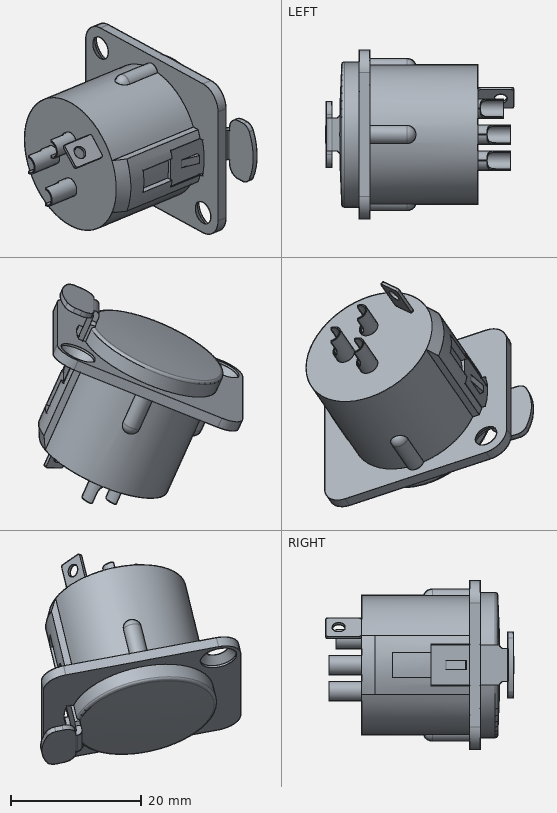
import cadquery as cq
import math


PLATE_WIDTH = 31.0
PLATE_HEIGHT = 26.0
PLATE_THICKNESS = 1.65
PLATE_CORNER_RADIUS = 3.5
SCREW_HOLE_DIAMETER = 3.6
SCREW_HEAD_DIAMETER = 5.7
SCREW_HEAD_RECESS_DEPTH = 0.35
SCREW_HOLE_X = 12.0
SCREW_HOLE_Z = 9.5

BARREL_RADIUS = 10.75
BARREL_LENGTH = 16.6
RIM_RADIUS = 11.2
RIM_FRONT_Y = 4.35
RIM_ROUNDING = 0.45
DOME_RISE = 0.3

RIB_RADIUS = 1.45
RIB_AXIS_OFFSET = 10.25
RIB_STRAIGHT_LENGTH = 5.7
RIB_ANGLES = (90, 180, 270)

PAD_RADIUS = 11.75
PAD_HALF_WIDTH = 4.55
PAD_BEVEL_LENGTH = 2.1
WINDOW_HALF_WIDTH = 3.2
WINDOW_REAR_Y = -5.95
SLOT_HALF_WIDTH = 1.9
SLOT_REAR_Y = -11.85

PLATE_SLOT_RADIUS = 12.27
PLATE_SLOT_HALF_WIDTH = 3.15

LEVER_THICKNESS = 0.84
STEM_OUTER_X = 11.2
STEM_INNER_X = STEM_OUTER_X - LEVER_THICKNESS
STEM_WIDE_HALF_WIDTH = 3.1
STEM_NARROW_HALF_WIDTH = 2.55
STEM_TAPER_START_Y = 4.52
STEM_TAPER_END_Y = 5.02
THUMB_REAR_Y = 5.82
THUMB_BASE_X = 11.5
THUMB_TIP_X = 16.89
THUMB_HALF_WIDTH = 5.08
THUMB_BASE_CORNER_RADIUS = 2.0
THUMB_SHOULDER_X = 14.7
THUMB_END_X = 16.0
THUMB_END_HALF_WIDTH = 4.15
THUMB_SHOULDER_MID_X = 15.5
THUMB_SHOULDER_MID_Z = 4.75
THUMB_TILT_DEGREES = 1.5

CATCH_TIP_X = 11.9
CATCH_HALF_WIDTH = 0.68
CATCH_FRONT_Y = -0.5
CATCH_FRONT_DROP = 0.12
CATCH_REAR_Y = -3.65

PIN_RADIUS = 1.5
PIN_BORE_RADIUS = 1.28
PIN_OFFSET = 4.0
PIN_LENGTH = 5.0
SHORT_PIN_LENGTH = 3.95
CUP_EDGE_OFFSET = -0.2
CUP_ARC_RADIUS = 1.7
CUP_STRAIGHT_LENGTH = 2.0
CUP_TIP_ROUNDING = 0.25
PIN_SEAM_WIDTH = 0.15

TAB_WIDTH = 4.0
TAB_THICKNESS = 0.5
TAB_LENGTH = 5.5
TAB_CENTER_X = 6.1
TAB_CENTER_Z = 5.65
TAB_TURN_DEGREES = 45
TAB_CORNER_RADIUS = 0.35
TAB_HOLE_DIAMETER = 2.0
TAB_HOLE_FROM_BARREL = 3.5

OVERLAP = 0.5


def box_between(x_range, y_range, z_range):
    """Axis-aligned box given by its limits along X, Y and Z."""
    size = [high - low for low, high in (x_range, y_range, z_range)]
    corner = (x_range[0], y_range[0], z_range[0])
    return cq.Workplane("XY").box(*size, centered=False).translate(corner)


def revolve_about_y(profile):
    """Turn a closed XY profile fully about the barrel axis."""
    return profile.close().revolve(360, (0, 0, 0), (0, 1, 0))


def prism_along_y(outline, rear_y, length):
    """Extrude an XZ outline toward +Y starting at rear_y."""
    return outline.extrude(-length).translate((0, rear_y, 0))


def mounting_plate():
    """Round-cornered plate with two holes countersunk from the front."""
    plate = cq.Workplane("XZ").rect(PLATE_WIDTH, PLATE_HEIGHT).extrude(-PLATE_THICKNESS)
    plate = plate.edges("|Y").fillet(PLATE_CORNER_RADIUS)
    hole_radius = SCREW_HOLE_DIAMETER / 2
    head_radius = SCREW_HEAD_DIAMETER / 2
    recess_y = PLATE_THICKNESS - SCREW_HEAD_RECESS_DEPTH
    countersink = revolve_about_y(
        cq.Workplane("XY")
        .lineTo(hole_radius, 0)
        .lineTo(head_radius, recess_y)
        .lineTo(head_radius, PLATE_THICKNESS)
        .lineTo(0, PLATE_THICKNESS)
    )
    for side in (-1, 1):
        plate = plate.cut(countersink.translate((side * SCREW_HOLE_X, 0, -side * SCREW_HOLE_Z)))
    return plate


def barrel():
    return cq.Workplane("XZ").circle(BARREL_RADIUS).extrude(BARREL_LENGTH)


def rim():
    """Front rim with a rounded edge, a shallow domed face and a slot for the lever stem."""
    face_radius = RIM_RADIUS - RIM_ROUNDING
    dome_radius = (face_radius**2 + DOME_RISE**2) / (2 * DOME_RISE)
    mid_radius = face_radius / 2
    mid_drop = dome_radius - math.sqrt(dome_radius**2 - mid_radius**2)
    dome_top_y = RIM_FRONT_Y + DOME_RISE
    profile = (
        cq.Workplane("XY")
        .lineTo(RIM_RADIUS, 0)
        .lineTo(RIM_RADIUS, RIM_FRONT_Y - RIM_ROUNDING)
        .radiusArc((face_radius, RIM_FRONT_Y), -RIM_ROUNDING)
        .threePointArc((mid_radius, dome_top_y - mid_drop), (0, dome_top_y))
    )
    stem_slot = box_between(
        (STEM_INNER_X, RIM_RADIUS + OVERLAP),
        (0, dome_top_y),
        (-STEM_WIDE_HALF_WIDTH, STEM_WIDE_HALF_WIDTH),
    )
    front_only = box_between(
        (-RIM_RADIUS, RIM_RADIUS), (PLATE_THICKNESS / 2, dome_top_y), (-RIM_RADIUS, RIM_RADIUS)
    )
    return revolve_about_y(profile).intersect(front_only).cut(stem_slot)


def rib(angle):
    """Round-ended rib running back from the plate along the barrel."""
    profile = (
        cq.Workplane("XY")
        .lineTo(RIB_RADIUS, 0)
        .lineTo(RIB_RADIUS, -RIB_STRAIGHT_LENGTH)
        .radiusArc((0, -RIB_STRAIGHT_LENGTH - RIB_RADIUS), RIB_RADIUS)
    )
    x = RIB_AXIS_OFFSET * math.cos(math.radians(angle))
    z = RIB_AXIS_OFFSET * math.sin(math.radians(angle))
    return revolve_about_y(profile).translate((x, 0, z))


def latch_pad():
    """Raised pad, bevelled at the rear, with a window that narrows to a slot."""
    profile = (
        cq.Workplane("XY")
        .lineTo(PAD_RADIUS, 0)
        .lineTo(PAD_RADIUS, PAD_BEVEL_LENGTH - BARREL_LENGTH)
        .lineTo(BARREL_RADIUS, -BARREL_LENGTH)
        .lineTo(0, -BARREL_LENGTH)
    )
    sector = box_between(
        (BARREL_RADIUS / 2, PAD_RADIUS),
        (-BARREL_LENGTH, 0),
        (-PAD_HALF_WIDTH, PAD_HALF_WIDTH),
    )
    pad = revolve_about_y(profile).intersect(sector)
    for rear_y, half_width in ((WINDOW_REAR_Y, WINDOW_HALF_WIDTH), (SLOT_REAR_Y, SLOT_HALF_WIDTH)):
        opening = box_between((0, PAD_RADIUS), (rear_y, 0), (-half_width, half_width))
        pad = pad.cut(opening.cut(barrel()))
    return pad


def plate_slot():
    """Cutter for the curved plate opening just outside the lever stem."""
    sector = box_between(
        (STEM_OUTER_X, PLATE_SLOT_RADIUS),
        (0, PLATE_THICKNESS),
        (-PLATE_SLOT_HALF_WIDTH, PLATE_SLOT_HALF_WIDTH),
    )
    disc = cq.Workplane("XZ").circle(PLATE_SLOT_RADIUS).extrude(-PLATE_THICKNESS)
    return disc.intersect(sector)


def latch_catch():
    """Narrow ramp on the lever stem, highest near the plate."""
    return (
        cq.Workplane("XY")
        .moveTo(STEM_INNER_X, CATCH_FRONT_Y)
        .lineTo(STEM_OUTER_X, CATCH_FRONT_Y)
        .lineTo(CATCH_TIP_X, CATCH_FRONT_Y - CATCH_FRONT_DROP)
        .lineTo(STEM_OUTER_X, CATCH_REAR_Y)
        .lineTo(STEM_INNER_X, CATCH_REAR_Y)
        .close()
        .extrude(CATCH_HALF_WIDTH, both=True)
    )


def lever_stem():
    """Flat stem that narrows above the rim and ends in a rounded outer bend."""
    top_y = THUMB_REAR_Y + LEVER_THICKNESS
    front = (
        cq.Workplane("XY")
        .moveTo(STEM_INNER_X, WINDOW_REAR_Y)
        .lineTo(STEM_OUTER_X, WINDOW_REAR_Y)
        .lineTo(STEM_OUTER_X, THUMB_REAR_Y)
        .lineTo(THUMB_BASE_X, THUMB_REAR_Y)
        .lineTo(THUMB_BASE_X, top_y)
        .lineTo(STEM_OUTER_X, top_y)
        .radiusArc((STEM_INNER_X, THUMB_REAR_Y), -LEVER_THICKNESS)
        .close()
        .extrude(STEM_WIDE_HALF_WIDTH, both=True)
    )
    side_outline = (
        cq.Workplane("YZ")
        .moveTo(WINDOW_REAR_Y, -STEM_WIDE_HALF_WIDTH)
        .lineTo(STEM_TAPER_START_Y, -STEM_WIDE_HALF_WIDTH)
        .lineTo(STEM_TAPER_END_Y, -STEM_NARROW_HALF_WIDTH)
        .lineTo(top_y, -STEM_NARROW_HALF_WIDTH)
        .lineTo(top_y, STEM_NARROW_HALF_WIDTH)
        .lineTo(STEM_TAPER_END_Y, STEM_NARROW_HALF_WIDTH)
        .lineTo(STEM_TAPER_START_Y, STEM_WIDE_HALF_WIDTH)
        .lineTo(WINDOW_REAR_Y, STEM_WIDE_HALF_WIDTH)
        .close()
        .extrude(THUMB_TIP_X)
    )
    return front.intersect(side_outline)


def thumb_tab():
    """Thumb tab with rounded corners and a bowed outer end, tilted slightly forward."""
    corner_z = THUMB_HALF_WIDTH - THUMB_BASE_CORNER_RADIUS
    corner_x = THUMB_BASE_X + THUMB_BASE_CORNER_RADIUS
    outline = (
        cq.Workplane("XZ")
        .moveTo(THUMB_BASE_X, -corner_z)
        .lineTo(THUMB_BASE_X, corner_z)
        .radiusArc((corner_x, THUMB_HALF_WIDTH), THUMB_BASE_CORNER_RADIUS)
        .lineTo(THUMB_SHOULDER_X, THUMB_HALF_WIDTH)
        .threePointArc(
            (THUMB_SHOULDER_MID_X, THUMB_SHOULDER_MID_Z), (THUMB_END_X, THUMB_END_HALF_WIDTH)
        )
        .threePointArc((THUMB_TIP_X, 0), (THUMB_END_X, -THUMB_END_HALF_WIDTH))
        .threePointArc(
            (THUMB_SHOULDER_MID_X, -THUMB_SHOULDER_MID_Z), (THUMB_SHOULDER_X, -THUMB_HALF_WIDTH)
        )
        .lineTo(corner_x, -THUMB_HALF_WIDTH)
        .radiusArc((THUMB_BASE_X, -corner_z), THUMB_BASE_CORNER_RADIUS)
        .close()
    )
    tab = prism_along_y(outline, THUMB_REAR_Y, LEVER_THICKNESS)
    pivot = (THUMB_BASE_X, THUMB_REAR_Y, 0)
    pivot_end = (THUMB_BASE_X, THUMB_REAR_Y, 1)
    return tab.rotate(pivot, pivot_end, THUMB_TILT_DEGREES)


def solder_cup(x, z, length):
    """Hollow pin with a seam along its -X side, which is cut away at the tip to form a solder cup."""
    pin = cq.Workplane("XZ").circle(PIN_RADIUS).extrude(length + OVERLAP)
    bore = cq.Workplane("XZ").circle(PIN_BORE_RADIUS).extrude(length)
    tip_y = -length
    arc_center_x = CUP_EDGE_OFFSET - CUP_ARC_RADIUS
    arc_end_y = tip_y + CUP_STRAIGHT_LENGTH
    relief = (
        cq.Workplane("XY")
        .moveTo(arc_center_x, tip_y)
        .lineTo(arc_center_x, arc_end_y + CUP_ARC_RADIUS)
        .radiusArc((CUP_EDGE_OFFSET, arc_end_y), CUP_ARC_RADIUS)
        .lineTo(CUP_EDGE_OFFSET, tip_y + CUP_TIP_ROUNDING)
        .radiusArc((CUP_EDGE_OFFSET + CUP_TIP_ROUNDING, tip_y), -CUP_TIP_ROUNDING)
        .close()
        .extrude(PIN_RADIUS, both=True)
    )
    seam = box_between(
        (-PIN_RADIUS, 0), (tip_y, 0), (-PIN_SEAM_WIDTH / 2, PIN_SEAM_WIDTH / 2)
    )
    pin = pin.translate((0, OVERLAP, 0))
    return pin.cut(bore).cut(relief).cut(seam).translate((x, -BARREL_LENGTH, z))


def ground_tab():
    """Thin rounded tab with a wire hole, set at an angle across the rear face."""
    tab = (
        cq.Workplane("XY")
        .rect(TAB_WIDTH, TAB_LENGTH)
        .extrude(TAB_THICKNESS / 2, both=True)
        .edges("|Z")
        .fillet(TAB_CORNER_RADIUS)
    )
    hole = (
        cq.Workplane("XY")
        .center(0, TAB_LENGTH / 2 - TAB_HOLE_FROM_BARREL)
        .circle(TAB_HOLE_DIAMETER / 2)
        .extrude(TAB_THICKNESS, both=True)
    )
    root = box_between(
        (TAB_CORNER_RADIUS - TAB_WIDTH / 2, TAB_WIDTH / 2 - TAB_CORNER_RADIUS),
        (TAB_LENGTH / 2 - OVERLAP, TAB_LENGTH / 2 + OVERLAP),
        (-TAB_THICKNESS / 2, TAB_THICKNESS / 2),
    )
    turned = tab.cut(hole).union(root).rotate((0, 0, 0), (0, 1, 0), TAB_TURN_DEGREES)
    return turned.translate((TAB_CENTER_X, -BARREL_LENGTH - TAB_LENGTH / 2, TAB_CENTER_Z))


result = mounting_plate().union(barrel()).union(rim())
for rib_angle in RIB_ANGLES:
    result = result.union(rib(rib_angle))
result = result.union(latch_pad()).cut(plate_slot())
result = result.union(lever_stem()).union(latch_catch()).union(thumb_tab())

PINS = (
    (0, PIN_OFFSET, SHORT_PIN_LENGTH),
    (0, -PIN_OFFSET, PIN_LENGTH),
    (-PIN_OFFSET, 0, PIN_LENGTH),
)
for pin_x, pin_z, pin_length in PINS:
    result = result.union(solder_cup(pin_x, pin_z, pin_length))

result = result.union(ground_tab())